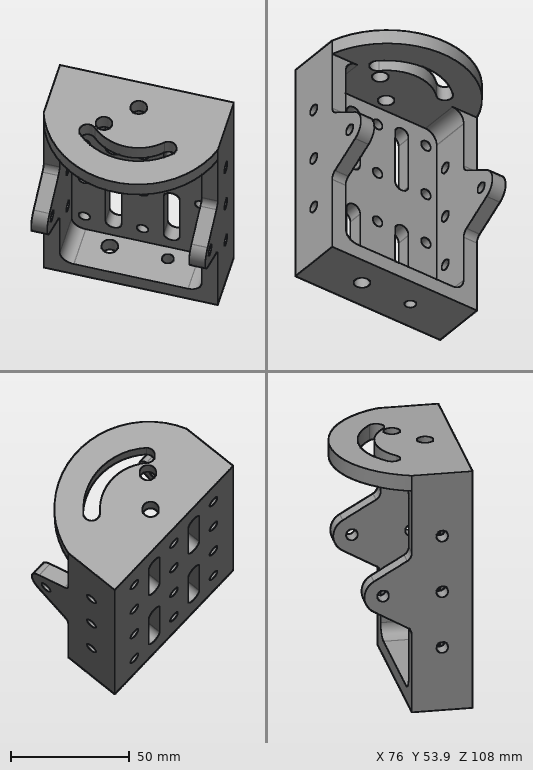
import cadquery as cq
import math

width = 76.0
height = 108.0
frame_depth = 26.1
total_depth = 53.9
wall = 7.0

pitch = 25.4
small_hole = 5.0
large_hole = 7.0
hole_row_y = -frame_depth / 2
mid_z = height / 2

pocket_radius = 6.0

lug_radius = 8.0
lug_root_radius = 4.0
lug_slope = math.radians(30)
lug_center_y = hole_row_y - pitch

curved_slot_radius = 25.0
curved_slot_half_angle = math.radians(45)
index_hole_radius = 17.0


def polar(radius, angle):
    """Point in the XY plane at an angle measured from -Y towards +X."""
    return (radius * math.sin(angle), -radius * math.cos(angle))


def make_frame():
    """Open tray: a back wall with four side walls and rounded pocket corners."""
    block = cq.Workplane("XY").box(width, frame_depth, height, centered=(True, False, False))
    block = block.translate((0, -frame_depth, 0))
    pocket = (
        cq.Workplane("XY")
        .box(width - 2 * wall, frame_depth, height - 2 * wall)
        .edges("|Y")
        .fillet(pocket_radius)
        .translate((0, -wall - frame_depth / 2, mid_z))
    )
    return block.cut(pocket)


def make_top_plate():
    """Plate closing the top, with an arc-shaped front edge reaching out past the frame."""
    half = width / 2
    return (
        cq.Workplane("XY", origin=(0, 0, height - wall))
        .moveTo(-half, 0)
        .lineTo(-half, -frame_depth)
        .threePointArc((0, -total_depth), (half, -frame_depth))
        .lineTo(half, 0)
        .close()
        .extrude(wall)
    )


def make_lug(left_x):
    """Rounded triangular lug, one wall thick, standing out from the front of a side wall."""
    tangent_y = lug_center_y - lug_radius * math.sin(lug_slope)
    tangent_z = lug_radius * math.cos(lug_slope)
    root_y = -frame_depth
    root_z = tangent_z + (root_y - tangent_y) * math.tan(lug_slope)
    root_top_z = root_z + lug_root_radius * math.tan((math.pi / 2 - lug_slope) / 2)
    root_center_y = root_y - lug_root_radius
    root_end_y = root_center_y + lug_root_radius * math.sin(lug_slope)
    root_end_z = root_top_z - lug_root_radius * math.cos(lug_slope)
    middle_angle = (math.pi / 2 + lug_slope) / 2
    root_mid_y = root_center_y + lug_root_radius * math.sin(middle_angle)
    root_mid_z = root_top_z - lug_root_radius * math.cos(middle_angle)
    back_y = root_y + wall
    return (
        cq.Workplane("YZ", origin=(left_x, 0, mid_z))
        .moveTo(back_y, root_top_z)
        .lineTo(root_y, root_top_z)
        .threePointArc((root_mid_y, root_mid_z), (root_end_y, root_end_z))
        .lineTo(tangent_y, tangent_z)
        .threePointArc((lug_center_y - lug_radius, 0), (tangent_y, -tangent_z))
        .lineTo(root_end_y, -root_end_z)
        .threePointArc((root_mid_y, -root_mid_z), (root_y, -root_top_z))
        .lineTo(back_y, -root_top_z)
        .close()
        .extrude(wall)
    )


def back_wall_cuts():
    """Grid of round holes and four upright slots through the back wall."""
    plane = cq.Workplane("XZ", origin=(0, 0, mid_z))
    holes = plane.rarray(pitch, pitch, 3, 4).circle(small_hole / 2).extrude(wall)
    slots = (
        plane.rarray(pitch, 2 * pitch, 2, 2)
        .slot2D(pitch + large_hole, large_hole, 90)
        .extrude(wall)
    )
    return holes.union(slots)


def side_wall_cuts():
    """Three holes through both side walls and one through both lugs."""
    points = [(hole_row_y, row * pitch) for row in (-1, 0, 1)]
    points.append((lug_center_y, 0))
    return (
        cq.Workplane("YZ", origin=(-width / 2, 0, mid_z))
        .pushPoints(points)
        .circle(small_hole / 2)
        .extrude(width)
    )


def bottom_wall_cuts():
    """A large hole and a small hole through the bottom wall."""
    plane = cq.Workplane("XY")
    large = plane.center(-pitch / 2, hole_row_y).circle(large_hole / 2).extrude(wall)
    small = plane.center(pitch / 2, hole_row_y).circle(small_hole / 2).extrude(wall)
    return large.union(small)


def top_plate_cuts():
    """Pivot hole, a second hole on the diagonal, and a curved slot centred on the pivot."""
    plane = cq.Workplane("XY", origin=(0, hole_row_y, height - wall))
    end = curved_slot_half_angle
    hole_points = [(0, 0), polar(index_hole_radius, -end)]
    holes = plane.pushPoints(hole_points).circle(large_hole / 2).extrude(wall)

    inner = curved_slot_radius - large_hole / 2
    outer = curved_slot_radius + large_hole / 2
    cap_y = -math.cos(end) * curved_slot_radius + math.sin(end) * large_hole / 2
    cap_x = math.sin(end) * curved_slot_radius + math.cos(end) * large_hole / 2
    slot = (
        plane.moveTo(*polar(inner, -end))
        .threePointArc(polar(inner, 0), polar(inner, end))
        .threePointArc((cap_x, cap_y), polar(outer, end))
        .threePointArc(polar(outer, 0), polar(outer, -end))
        .threePointArc((-cap_x, cap_y), polar(inner, -end))
        .close()
        .extrude(wall)
    )
    return holes.union(slot)


body = make_frame().union(make_top_plate())
for lug_left_x in (-width / 2, width / 2 - wall):
    body = body.union(make_lug(lug_left_x))

result = (
    body.cut(back_wall_cuts())
    .cut(side_wall_cuts())
    .cut(bottom_wall_cuts())
    .cut(top_plate_cuts())
)